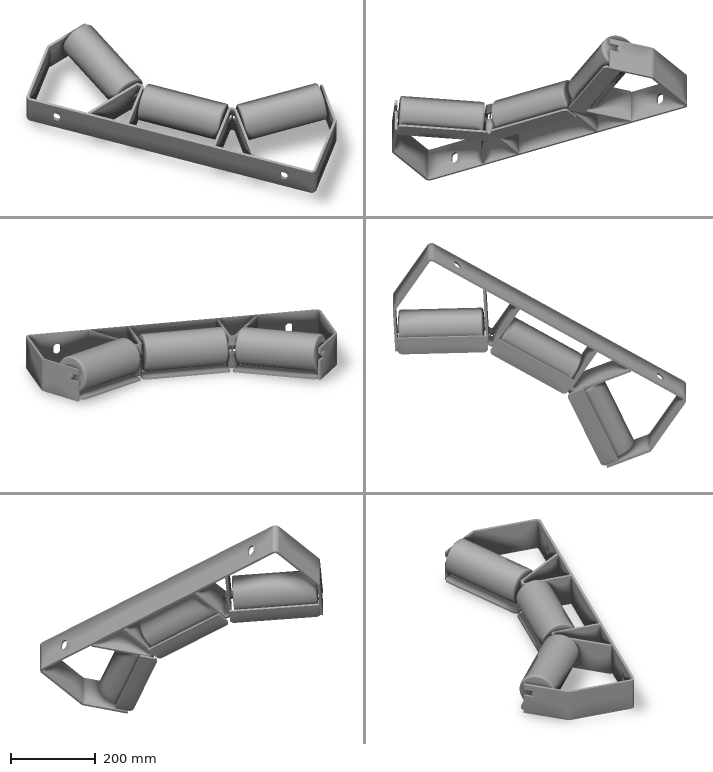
import cadquery as cq
import math

sheet_thickness = 6.0
sheet_height = 80.0
bend_radius = 9.0
bracket_bend_radius = 6.0
half_sheet = sheet_thickness / 2

frame_width = 720.0
trough_angle = 35.0
arm_bend_y = 166.3
arm_length = 111.0
mount_slot_x = 283.0
mount_slot_width = 18.0
mount_slot_height = 26.0

roller_diameter = 89.0
roller_length = 200.0
roller_edge_fillet = 5.0
shaft_diameter = 20.0
shaft_flat_height = 17.0
shaft_shoulder_clearance = 0.5
support_gap = 210.0
center_roller_y = 101.0
center_roller_z = -31.5
side_roller_y = 169.72
side_roller_tilt = 2.5
half_gap = support_gap / 2

bracket_top_y = 127.0

guard_thickness = 5.0
guard_lap = 2.0
guard_front = -2.0
guard_back = 41.0
guard_corner_radius = 10.0

sin_trough = math.sin(math.radians(trough_angle))
cos_trough = math.cos(math.radians(trough_angle))
bend_setback = math.tan(math.radians(trough_angle / 2))
tan_tilt = math.tan(math.radians(side_roller_tilt))
shaft_length = support_gap + 2 * sheet_thickness
shoulder_length = support_gap - 2 * shaft_shoulder_clearance
guard_drop = sheet_height + center_roller_z
guard_length = support_gap + 2 * guard_lap
side_guard_shift = guard_lap + (guard_drop + guard_thickness) * tan_tilt

side_roller_x = (
    -frame_width / 2
    + (half_gap + sheet_thickness) / cos_trough
    + (side_roller_y - arm_bend_y) * sin_trough / cos_trough
)
side_roller_z = center_roller_z + half_gap * math.sin(math.radians(side_roller_tilt))


def center_place(body):
    """Move a body built around the roller axis to the centre roller."""
    return body.translate((0, center_roller_y, center_roller_z))


def side_place(body):
    """Move a body built around the roller axis to the left side roller."""
    return (
        body.rotate((0, 0, 0), (0, 1, 0), side_roller_tilt)
        .rotate((0, 0, 0), (0, 0, 1), -trough_angle)
        .translate((side_roller_x, side_roller_y, side_roller_z))
    )


def mirrored(body):
    return body.mirror("YZ")


def bent_sheet(corners, radius):
    """Sheet standing below Z = 0 along a mid-thickness path with rounded corners."""
    points = [cq.Vector(x, y, 0) for x, y in corners]
    path = cq.Workplane("XY").moveTo(points[0].x, points[0].y)
    for before, corner, after in zip(points, points[1:], points[2:]):
        to_before = (before - corner).normalized()
        to_after = (after - corner).normalized()
        half_angle = to_before.getAngle(to_after) / 2
        setback = radius / math.tan(half_angle)
        bulge = radius / math.sin(half_angle) - radius
        start = corner + to_before * setback
        middle = corner + (to_before + to_after).normalized() * bulge
        end = corner + to_after * setback
        path = path.lineTo(start.x, start.y)
        path = path.threePointArc((middle.x, middle.y), (end.x, end.y))
    path = path.lineTo(points[-1].x, points[-1].y)
    section_plane = cq.Plane(origin=points[0], xDir=(0, 0, 1), normal=points[1] - points[0])
    section = cq.Workplane(section_plane).center(-sheet_height / 2, 0).rect(sheet_height, sheet_thickness)
    return section.sweep(path)


def round_bar(diameter, length):
    """Round bar along X, centred on the origin."""
    return cq.Workplane("YZ", origin=(-length / 2, 0, 0)).circle(diameter / 2).extrude(length)


def flatted_bar(length):
    """Shaft stock along X with flats above and below."""
    bar = round_bar(shaft_diameter, length)
    return bar.intersect(cq.Workplane("XY").box(length, shaft_diameter, shaft_flat_height))


def shaft_slot(end):
    """Cutter for the slot that receives the shaft at one end (-1 or 1), open towards +Y."""
    inner_end = half_gap - sheet_thickness
    outer_end = half_gap + bracket_bend_radius + half_sheet
    depth = outer_end - inner_end
    reach = sheet_height
    opening = cq.Workplane("XY").box(depth, reach, shaft_flat_height).translate((0, reach / 2, 0))
    return opening.union(flatted_bar(depth)).translate((end * (inner_end + outer_end) / 2, 0, 0))


def make_frame():
    wall_x = -frame_width / 2 + half_sheet
    bend_y = arm_bend_y - half_sheet * bend_setback
    left_half = [
        (wall_x + arm_length * sin_trough, bend_y + arm_length * cos_trough),
        (wall_x, bend_y),
        (wall_x, half_sheet),
    ]
    right_half = [(-x, y) for x, y in reversed(left_half)]
    frame = bent_sheet(left_half + right_half, bend_radius)

    mount_slots = (
        cq.Workplane("XZ")
        .pushPoints([(-mount_slot_x, -sheet_height / 2), (mount_slot_x, -sheet_height / 2)])
        .slot2D(mount_slot_height, mount_slot_width, 90)
        .extrude(-sheet_thickness)
    )
    arm_slot = side_place(shaft_slot(-1))
    return frame.cut(mount_slots).cut(arm_slot).cut(mirrored(arm_slot))


def make_bracket():
    """Left bracket: a leg beside the centre roller and a leg beside the side roller."""
    leg_x = -half_gap - half_sheet
    top_y = bracket_top_y - half_sheet
    axis_reach = half_gap + half_sheet
    on_leg_x = side_roller_x + axis_reach * cos_trough
    on_leg_y = side_roller_y - axis_reach * sin_trough
    foot_y = sheet_thickness + half_sheet * sin_trough

    def sloped_leg_x(y):
        return on_leg_x + (y - on_leg_y) * sin_trough / cos_trough

    corners = [
        (leg_x, sheet_thickness),
        (leg_x, top_y),
        (sloped_leg_x(top_y), top_y),
        (sloped_leg_x(foot_y), foot_y),
    ]
    bracket = bent_sheet(corners, bracket_bend_radius)
    return bracket.cut(center_place(shaft_slot(-1))).cut(side_place(shaft_slot(1)))


def make_roller():
    """Roller along X around the origin, with its shaft."""
    shell = round_bar(roller_diameter, roller_length).edges("%CIRCLE").fillet(roller_edge_fillet)
    return shell.union(round_bar(shaft_diameter, shoulder_length)).union(flatted_bar(shaft_length))


def make_guard():
    """Flat plate below a roller, built around the roller axis."""
    return (
        cq.Workplane("XY", origin=(0, (guard_front + guard_back) / 2, -guard_drop))
        .rect(guard_length, guard_back - guard_front)
        .extrude(-guard_thickness)
        .edges("|Z and >Y")
        .fillet(guard_corner_radius)
    )


frame = make_frame()
left_bracket = make_bracket()
brackets = [left_bracket, mirrored(left_bracket)]

left_roller = side_place(make_roller())
rollers = [left_roller, center_place(make_roller()), mirrored(left_roller)]

left_guard = side_place(make_guard().translate((side_guard_shift, 0, 0)))
guards = [left_guard, center_place(make_guard()), mirrored(left_guard)]

result = cq.Compound.makeCompound([body.val() for body in [frame, *brackets, *rollers, *guards]])